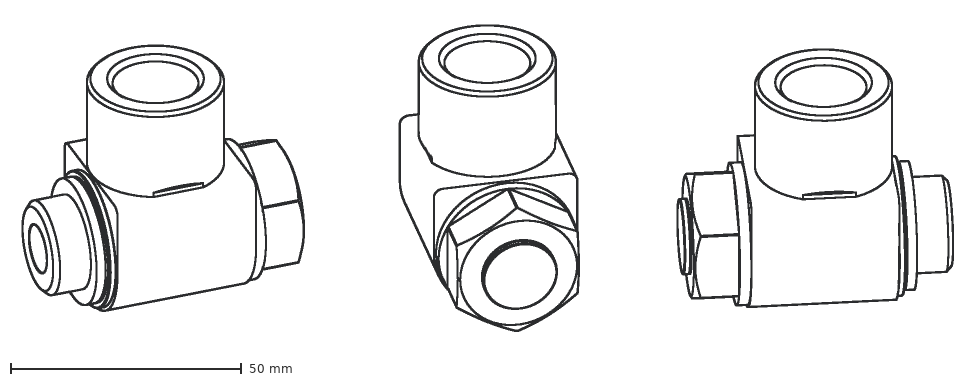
import cadquery as cq
import math


body_width = 32.0
body_radius = body_width / 2
body_front = -14.95
body_back = 17.2
body_edge_radius = 2.05

tower_diameter = 29.8
tower_top = 37.0
tower_chamfer_height = 0.9
tower_chamfer_width = 0.75
tower_flat_half_width = 13.7
tower_flat_top = 17.05
port_diameter = 18.65
port_floor = 17.5
port_chamfer = 1.15
passage_diameter = 6.3

front_tip = -27.35
seal_diameter = 30.35
seal_chamfer = 0.2
seal_front = -16.4
shoulder_diameter = 28.0
shoulder_rim_diameter = 27.9
shoulder_rim_front = -16.95
shoulder_front = -19.05
stud_diameter = 20.95
stud_chamfer = 1.15
bore_diameter = 10.6
bore_chamfer = 0.1
bore_end = bore_diameter / 2

washer_diameter = 31.0
washer_back = 19.7
hex_across_flats = 27.0
hex_back = 29.5
hex_face_diameter = 26.05
hex_chamfer_angle = 30.0
plug_diameter = 16.4
plug_chamfer = 0.2
plug_neck_diameter = 16.35
plug_neck_end = 29.85
rear_tip = front_tip + 58.4


def cylinder_along_y(diameter, start, end):
    """Cylinder on the main axis between two Y positions."""
    plane = cq.Workplane("XZ", origin=(0, start, 0))
    return plane.circle(diameter / 2).extrude(start - end)


def make_body():
    block = (
        cq.Workplane("XZ", origin=(0, body_front, 0))
        .moveTo(-body_radius, 0)
        .lineTo(-body_radius, body_radius)
        .lineTo(body_radius, body_radius)
        .lineTo(body_radius, 0)
        .threePointArc((0, -body_radius), (-body_radius, 0))
        .close()
        .extrude(body_front - body_back)
    )
    return block.edges("|Y and >Z").fillet(body_edge_radius)


def make_tower():
    tower = (
        cq.Workplane("XY")
        .circle(tower_diameter / 2)
        .extrude(tower_top)
        .faces(">Z")
        .edges()
        .chamfer(tower_chamfer_height, tower_chamfer_width)
    )
    foot_depth = tower_diameter / 2 - tower_flat_half_width
    for side in (-1, 1):
        clearance = (
            cq.Workplane("XZ")
            .moveTo(side * tower_flat_half_width, 0)
            .lineTo(side * tower_flat_half_width, tower_flat_top)
            .lineTo(side * tower_diameter / 2, tower_flat_top + foot_depth)
            .lineTo(side * tower_diameter / 2, 0)
            .close()
            .extrude(tower_diameter / 2, both=True)
        )
        tower = tower.cut(clearance)
    return tower


def make_front_end():
    stud = cylinder_along_y(stud_diameter, front_tip, body_front)
    stud = stud.faces("<Y").edges().chamfer(stud_chamfer)
    seal = cylinder_along_y(seal_diameter, seal_front, body_front)
    seal = seal.edges("%CIRCLE").chamfer(seal_chamfer)
    rim = cylinder_along_y(shoulder_rim_diameter, shoulder_rim_front, seal_front)
    shoulder = cylinder_along_y(shoulder_diameter, shoulder_front, shoulder_rim_front)
    return stud.union(seal).union(rim).union(shoulder)


def make_hexagon():
    """Hexagon with corners on +Z and -Z, trimmed round and chamfered at the rear."""
    corner_diameter = hex_across_flats / math.cos(math.radians(30))
    prism = (
        cq.Workplane("XZ", origin=(0, washer_back, 0))
        .transformed(rotate=(0, 0, 90))
        .polygon(6, corner_diameter)
        .extrude(washer_back - hex_back)
    )
    face_radius = hex_face_diameter / 2
    rim_radius = washer_diameter / 2
    chamfer_depth = (rim_radius - face_radius) * math.tan(math.radians(hex_chamfer_angle))
    envelope = (
        cq.Workplane("XY")
        .moveTo(0, washer_back)
        .lineTo(rim_radius, washer_back)
        .lineTo(rim_radius, hex_back - chamfer_depth)
        .lineTo(face_radius, hex_back)
        .lineTo(0, hex_back)
        .close()
        .revolve(360, (0, 0, 0), (0, 1, 0))
    )
    return prism.intersect(envelope)


def make_rear_end():
    washer = cylinder_along_y(washer_diameter, body_back, washer_back)
    neck = cylinder_along_y(plug_neck_diameter, washer_back, plug_neck_end)
    plug = cylinder_along_y(plug_diameter, plug_neck_end, rear_tip)
    plug = plug.faces(">Y").edges().chamfer(plug_chamfer)
    return washer.union(make_hexagon()).union(neck).union(plug)


def cone(start_plane, start_diameter, end_diameter, depth):
    """Truncated cone growing along the normal of its start plane."""
    start = start_plane.circle(start_diameter / 2)
    return start.workplane(offset=depth).circle(end_diameter / 2).loft()


def make_passages():
    port_plane = cq.Workplane("XY", origin=(0, 0, port_floor))
    port = port_plane.circle(port_diameter / 2).extrude(tower_top - port_floor)
    port_mouth = cone(
        cq.Workplane("XY", origin=(0, 0, tower_top - port_chamfer)),
        port_diameter,
        port_diameter + 2 * port_chamfer,
        port_chamfer,
    )
    passage = cq.Workplane("XY").circle(passage_diameter / 2).extrude(port_floor)
    bore = cylinder_along_y(bore_diameter, front_tip, bore_end)
    bore_mouth = cone(
        cq.Workplane("XZ", origin=(0, front_tip + bore_chamfer, 0)),
        bore_diameter,
        bore_diameter + 2 * bore_chamfer,
        bore_chamfer,
    )
    return port.union(port_mouth).union(passage).union(bore).union(bore_mouth)


solid_part = make_body().union(make_tower()).union(make_front_end()).union(make_rear_end())
result = solid_part.cut(make_passages())